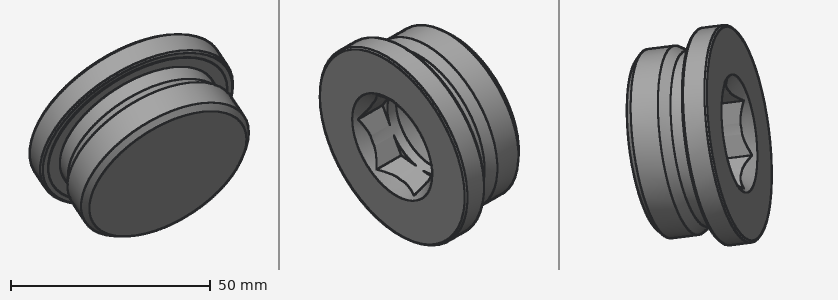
import cadquery as cq
import math

length = 22.5
flange_end = 6.6
collar_end = 6.8
neck_end = 11.05
taper_end = 13.85

flange_radius = 27.45
collar_radius = 25.5
neck_radius = 22.25
plug_radius = 23.9

flange_chamfer = 0.5
plug_chamfer = 1.55

hex_across_flats = 24.0
hex_depth = 9.35
mouth_radius = 14.9
bore_radius = 12.1
bore_depth = 12.3
drill_point_angle = 118.0


def revolve_about_x(points):
    """Revolve a closed (x, radius) outline about the X axis."""
    return cq.Workplane("XY").polyline(points).close().revolve(360, (0, 0, 0), (1, 0, 0))


def make_body():
    return revolve_about_x([
        (0, 0),
        (0, flange_radius - flange_chamfer),
        (flange_chamfer, flange_radius),
        (flange_end - flange_chamfer, flange_radius),
        (flange_end, flange_radius - flange_chamfer),
        (flange_end, collar_radius),
        (collar_end, collar_radius),
        (collar_end, neck_radius),
        (neck_end, neck_radius),
        (taper_end, plug_radius),
        (length - plug_chamfer, plug_radius),
        (length, plug_radius - plug_chamfer),
        (length, 0),
    ])


def make_hexagon():
    """Hexagonal prism with two corners on the Y axis."""
    across_corners = hex_across_flats / math.cos(math.radians(30))
    return cq.Workplane("YZ").polygon(6, across_corners).extrude(hex_depth)


def make_drilled_bore():
    """45 degree countersunk mouth, round bore and conical drill point."""
    mouth_depth = mouth_radius - bore_radius
    point_length = bore_radius / math.tan(math.radians(drill_point_angle / 2))
    return revolve_about_x([
        (0, 0),
        (0, mouth_radius),
        (mouth_depth, bore_radius),
        (bore_depth, bore_radius),
        (bore_depth + point_length, 0),
    ])


result = make_body().cut(make_hexagon()).cut(make_drilled_bore())